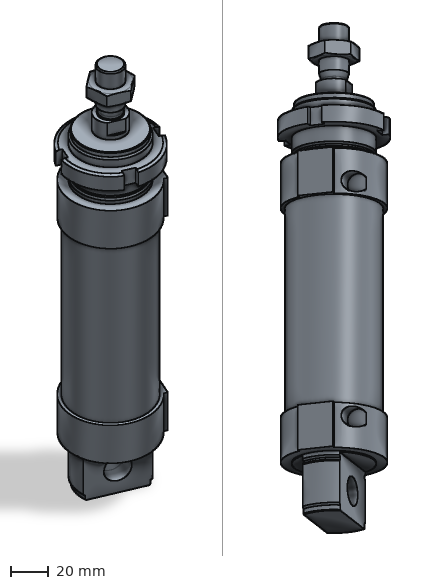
import cadquery as cq
import math


TOTAL_LENGTH = 275.2

BARREL_DIAMETER = 52.4
CAP_DIAMETER = 56.8
CAP_LENGTH = 25.0
PAD_WIDTH = 20.0
PAD_REACH = 28.9
REAR_CAP_BOTTOM = 32.9
FRONT_CAP_TOP = 199.2

COLLAR_DIAMETER = 45.0
COLLAR_TIP_DIAMETER = 42.8
COLLAR_TIP_LENGTH = 3.0
COLLAR_TIP_CHAMFER = 0.5
COLLAR_LEAD = (COLLAR_DIAMETER - COLLAR_TIP_DIAMETER) / 2
FRONT_COLLAR_LENGTH = 33.2
RELIEF_START = 2.3
RELIEF_LENGTH = 3.3
RELIEF_DIAMETER = 42.8

EYE_THICKNESS = 21.0
EYE_HOLE_DIAMETER = 16.0
EYE_HOLE_HEIGHT = 16.0
EYE_SHOULDER_LENGTH = 0.7

PORT_DIAMETER = 11.45
PORT_OFFSET = 19.1
PORT_FLOOR = 15.4
PORT_FROM_BARREL = 7.2

ROD_DIAMETER = 20.0
ROD_ACROSS_FLATS = 17.0
ROD_FLAT_LENGTH = 8.3
ROD_STUD_LENGTH = 31.8
STUD_DIAMETER = 16.0
STUD_TIP_DIAMETER = 14.38
UNDERCUT_DIAMETER = 13.9
UNDERCUT_LENGTH = 5.5
UNDERCUT_TAPER = 3.2
UNDERCUT_FILLET = 0.5

HEX_ACROSS_FLATS = 24.0
HEX_HEIGHT = 8.0
HEX_BOTTOM = 256.3
HEX_CHAMFER_DIAMETER = 23.6
HEX_CHAMFER_ANGLE = 15.0

RING_DIAMETER = 60.0
RING_HEIGHT = 10.0
RING_BOTTOM = 213.4
RING_CHAMFER_WIDTH = 2.0
RING_CHAMFER_HEIGHT = 0.7
RING_SLOT_WIDTH = 8.0
RING_SLOT_FLOOR = 26.0
RING_SLOT_COUNT = 4

REAR_CAP_TOP = REAR_CAP_BOTTOM + CAP_LENGTH
FRONT_CAP_BOTTOM = FRONT_CAP_TOP - CAP_LENGTH
COLLAR_FACE = FRONT_CAP_TOP + FRONT_COLLAR_LENGTH
STUD_BASE = TOTAL_LENGTH - ROD_STUD_LENGTH
ROD_BORE_BOTTOM = FRONT_CAP_BOTTOM


def cylinder(diameter, bottom, height):
    return cq.Workplane("XY").workplane(offset=bottom).circle(diameter / 2).extrude(height)


def turned(profile):
    """Solid of revolution about Z from (radius, height) points that start and end on the axis."""
    return cq.Workplane("XZ").polyline(profile).close().revolve(360, (0, 0, 0), (0, 1, 0))


def collar(length):
    """Threaded collar rising from Z = 0, with a relief near its base and a stepped, chamfered tip."""
    outer = COLLAR_DIAMETER / 2
    relief = RELIEF_DIAMETER / 2
    tip = COLLAR_TIP_DIAMETER / 2
    slope = outer - relief
    relief_end = RELIEF_START + RELIEF_LENGTH
    lead_end = length - COLLAR_TIP_LENGTH
    return turned([
        (0, 0),
        (outer, 0),
        (outer, RELIEF_START),
        (relief, RELIEF_START + slope),
        (relief, relief_end - slope),
        (outer, relief_end),
        (outer, lead_end - COLLAR_LEAD),
        (tip, lead_end),
        (tip, length - COLLAR_TIP_CHAMFER),
        (tip - COLLAR_TIP_CHAMFER, length),
        (0, length),
    ])


def end_cap(bottom):
    """Round cap whose +Y side carries a flat-topped pad."""
    pad = (
        cq.Workplane("XY").workplane(offset=bottom)
        .center(0, PAD_REACH / 2).rect(PAD_WIDTH, PAD_REACH).extrude(CAP_LENGTH)
    )
    return cylinder(CAP_DIAMETER, bottom, CAP_LENGTH).union(pad)


def port(height):
    """Flat-bottomed air port along Y, off the axis so that it breaks out of the flank of the cap."""
    drill = cq.Workplane("XZ", origin=(-PORT_OFFSET, PORT_FLOOR, height)).circle(PORT_DIAMETER / 2)
    return drill.extrude(-CAP_DIAMETER / 2)


def rear_eye():
    """Rear collar flattened on its two X sides and cross-drilled along X."""
    eye = collar(REAR_CAP_BOTTOM).rotate((0, 0, 0), (1, 0, 0), 180).translate((0, 0, REAR_CAP_BOTTOM))
    flat_height = REAR_CAP_BOTTOM - EYE_SHOULDER_LENGTH
    slab = cq.Workplane("XY").rect(EYE_THICKNESS, COLLAR_DIAMETER).extrude(flat_height)
    shoulder = cylinder(COLLAR_DIAMETER, flat_height, EYE_SHOULDER_LENGTH)
    hole = (
        cq.Workplane("YZ").center(0, EYE_HOLE_HEIGHT)
        .circle(EYE_HOLE_DIAMETER / 2).extrude(EYE_THICKNESS, both=True)
    )
    return eye.intersect(slab.union(shoulder)).cut(hole)


def cylinder_body():
    barrel = cylinder(BARREL_DIAMETER, REAR_CAP_TOP, FRONT_CAP_BOTTOM - REAR_CAP_TOP)
    body = barrel.union(end_cap(REAR_CAP_BOTTOM)).union(end_cap(FRONT_CAP_BOTTOM))
    body = body.union(collar(FRONT_COLLAR_LENGTH).translate((0, 0, FRONT_CAP_TOP)))
    body = body.union(rear_eye())
    for height in (REAR_CAP_TOP - PORT_FROM_BARREL, FRONT_CAP_BOTTOM + PORT_FROM_BARREL):
        body = body.cut(port(height))
    return body.cut(cylinder(ROD_DIAMETER, ROD_BORE_BOTTOM, COLLAR_FACE - ROD_BORE_BOTTOM))


def piston_rod():
    rod = ROD_DIAMETER / 2
    stud = STUD_DIAMETER / 2
    stud_tip = STUD_TIP_DIAMETER / 2
    undercut = UNDERCUT_DIAMETER / 2
    undercut_top = STUD_BASE + UNDERCUT_LENGTH
    body = turned([
        (0, ROD_BORE_BOTTOM),
        (rod, ROD_BORE_BOTTOM),
        (rod, STUD_BASE),
        (undercut + UNDERCUT_FILLET, STUD_BASE),
        (undercut, STUD_BASE + UNDERCUT_FILLET),
        (undercut, undercut_top - UNDERCUT_TAPER),
        (stud, undercut_top),
        (stud, TOTAL_LENGTH - (stud - stud_tip)),
        (stud_tip, TOTAL_LENGTH),
        (0, TOTAL_LENGTH),
    ])
    flat_depth = (ROD_DIAMETER - ROD_ACROSS_FLATS) / 2
    for side in (-1, 1):
        flat = cq.Workplane("XY").box(flat_depth, ROD_DIAMETER, ROD_FLAT_LENGTH).translate(
            (side * (ROD_ACROSS_FLATS + flat_depth) / 2, 0, STUD_BASE - ROD_FLAT_LENGTH / 2)
        )
        body = body.cut(flat)
    return body


def hex_nut():
    """Hexagon nut with two flats facing X and its corners chamfered by a shallow double cone."""
    across_corners = HEX_ACROSS_FLATS / math.cos(math.radians(30))
    blank = cq.Workplane("XY").polygon(6, across_corners).extrude(HEX_HEIGHT)
    blank = blank.rotate((0, 0, 0), (0, 0, 1), 30)
    middle = HEX_HEIGHT / 2
    reach = HEX_CHAMFER_DIAMETER / 2
    rim = reach + middle / math.tan(math.radians(HEX_CHAMFER_ANGLE))
    envelope = turned([(0, 0), (reach, 0), (rim, middle), (reach, HEX_HEIGHT), (0, HEX_HEIGHT)])
    blank = blank.intersect(envelope).translate((0, 0, HEX_BOTTOM))
    return blank.cut(cylinder(STUD_DIAMETER, HEX_BOTTOM, HEX_HEIGHT))


def ring_nut():
    """Round nut with a shallow chamfer on its top edge and spanner slots around its rim."""
    outer = RING_DIAMETER / 2
    top = RING_BOTTOM + RING_HEIGHT
    ring = turned([
        (0, RING_BOTTOM),
        (outer, RING_BOTTOM),
        (outer, top - RING_CHAMFER_HEIGHT),
        (outer - RING_CHAMFER_WIDTH, top),
        (0, top),
    ])
    slot = cq.Workplane("XY").box(outer, RING_SLOT_WIDTH, RING_HEIGHT, centered=(False, True, False))
    slot = slot.translate((RING_SLOT_FLOOR, 0, RING_BOTTOM))
    for index in range(RING_SLOT_COUNT):
        ring = ring.cut(slot.rotate((0, 0, 0), (0, 0, 1), index * 360 / RING_SLOT_COUNT))
    return ring.cut(cylinder(COLLAR_DIAMETER, RING_BOTTOM, RING_HEIGHT))


result = cq.Compound.makeCompound([
    cylinder_body().val(),
    piston_rod().val(),
    hex_nut().val(),
    ring_nut().val(),
])